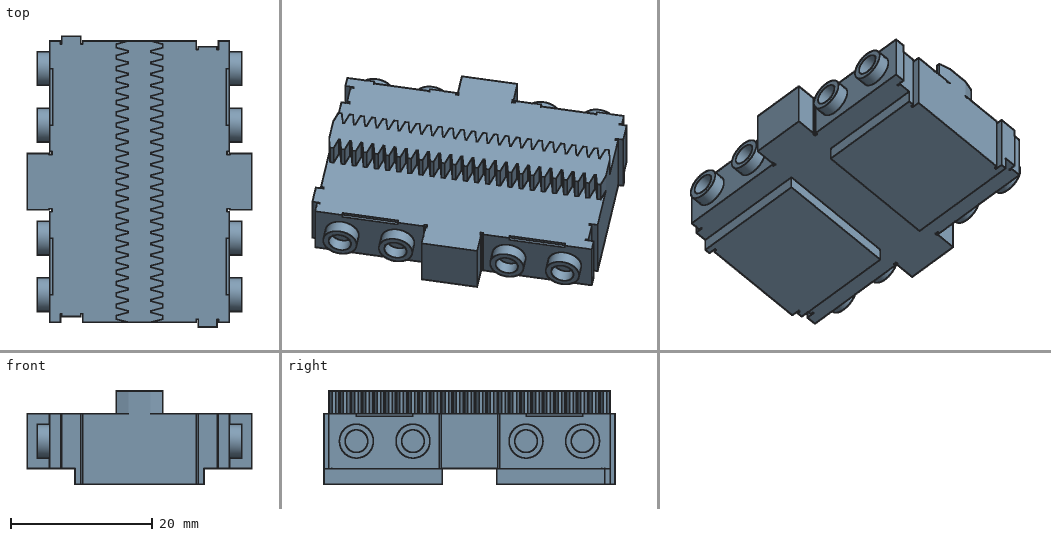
import cadquery as cq

base_top = 2.2
body_top = 10.0
rack_top = 13.2

body_width = 25.4
body_length = 39.8
wing_span = 31.8
wing_length = 8.0

base_width = 18.3
channel_length = 7.65

overall_length = 41.2
tongue_inner_x = 8.3
tongue_outer_x = 11.0
groove_inner_x = 8.05
groove_outer_x = 11.15
groove_depth = 0.8
end_relief_depth = 0.4

wing_relief_size = 0.4
wing_relief_x = 12.6
wing_relief_y = 4.05

pin_diameter = 4.8
pin_bore_diameter = 3.2
pin_length = 1.8
pin_z = (base_top + body_top) / 2
pin_spots_y = (-16.0, -8.0, 8.0, 16.0)

step_length = 8.0
step_center_y = 12.0
step_width = 0.4
step_drop = 0.4

tooth_pitch = 1.6
teeth_per_side = 25
rack_root_x = 1.58
rack_tip_x = 3.3
tooth_tip_width = 0.5

half_width = body_width / 2
half_length = body_length / 2
groove_floor_y = half_length - groove_depth
end_tooth_y = (teeth_per_side - 1) * tooth_pitch / 2
tooth_root_width = 2 * (half_length - end_tooth_y)


def block(x_range, y_range, z_range):
    """Box spanning the given (low, high) ranges."""
    size_x, size_y, size_z = (high - low for low, high in (x_range, y_range, z_range))
    corner = (x_range[0], y_range[0], z_range[0])
    return cq.Workplane("XY").box(size_x, size_y, size_z, centered=False).translate(corner)


def centered_block(size_x, size_y, bottom, top):
    """Box centred on the Z axis between two heights."""
    return block((-size_x / 2, size_x / 2), (-size_y / 2, size_y / 2), (bottom, top))


def half_turned(shape):
    """Shape rotated by 180 degrees about the Z axis."""
    return shape.rotate((0, 0, 0), (0, 0, 1), 180)


def make_tongue():
    """Full-height tongue on the +X side of the -Y end."""
    return block(
        (tongue_inner_x, tongue_outer_x), (-overall_length / 2, -groove_floor_y), (0, body_top)
    )


def end_relief_slots(floor_y):
    """Pair of full-height slots beside a tongue or groove floor at the +Y end, +X side."""
    slots = cq.Workplane("XY")
    y_range = (floor_y - end_relief_depth, half_length)
    for x_range in ((groove_inner_x, tongue_inner_x), (tongue_outer_x, groove_outer_x)):
        slots = slots.union(block(x_range, y_range, (0, body_top)))
    return slots


def shape_end_joints(body):
    """Each end has a groove on one side and a tongue on the other, alternating end to end."""
    groove = block((groove_inner_x, groove_outer_x), (groove_floor_y, half_length), (0, body_top))
    groove = groove.union(end_relief_slots(groove_floor_y))
    tongue_slots = end_relief_slots(half_length).mirror("XZ")
    tongue = make_tongue()
    body = body.union(tongue).union(half_turned(tongue))
    for cutter in (groove, tongue_slots):
        body = body.cut(cutter).cut(half_turned(cutter))
    return body


def trim_base(body):
    """Narrow the base to its own width and open the channel across it."""
    margins = centered_block(wing_span, overall_length, 0, base_top)
    margins = margins.cut(centered_block(base_width, overall_length, 0, base_top))
    body = body.cut(margins)
    return body.cut(centered_block(wing_span, channel_length, 0, base_top))


def cut_wing_reliefs(body):
    """Small square slots in the four corners where the wings leave the body."""
    corners = [(sx * wing_relief_x, sy * wing_relief_y) for sx in (-1, 1) for sy in (-1, 1)]
    reliefs = (
        cq.Workplane("XY")
        .workplane(offset=base_top)
        .pushPoints(corners)
        .rect(wing_relief_size, wing_relief_size)
        .extrude(body_top - base_top)
    )
    return body.cut(reliefs)


def cut_edge_steps(body):
    """Two shallow steps along each upper long edge."""
    step = block(
        (half_width - step_width, half_width),
        (step_center_y - step_length / 2, step_center_y + step_length / 2),
        (body_top - step_drop, body_top),
    )
    side_steps = step.union(step.mirror("XZ"))
    return body.cut(side_steps).cut(side_steps.mirror("YZ"))


def make_side_pins():
    """Row of tubular pins on the +X side."""
    centers = [(y, pin_z) for y in pin_spots_y]
    return (
        cq.Workplane("YZ")
        .workplane(offset=half_width)
        .pushPoints(centers)
        .circle(pin_diameter / 2)
        .circle(pin_bore_diameter / 2)
        .extrude(pin_length)
    )


def make_rack():
    """Straight rack with teeth on both sides, as long as the body."""
    outline = []
    for index in range(teeth_per_side):
        y = index * tooth_pitch - end_tooth_y
        outline += [
            (rack_root_x, y - tooth_root_width / 2),
            (rack_tip_x, y - tooth_tip_width / 2),
            (rack_tip_x, y + tooth_tip_width / 2),
            (rack_root_x, y + tooth_root_width / 2),
        ]
    outline += [(-x, y) for x, y in reversed(outline)]
    rack = cq.Workplane("XY").workplane(offset=body_top).polyline(outline).close()
    return rack.extrude(rack_top - body_top)


body = centered_block(body_width, body_length, 0, body_top)
body = body.union(centered_block(wing_span, wing_length, base_top, body_top))
body = shape_end_joints(body)
body = trim_base(body)
body = cut_wing_reliefs(body)
body = cut_edge_steps(body)

pins = make_side_pins()
result = body.union(pins).union(pins.mirror("YZ")).union(make_rack())